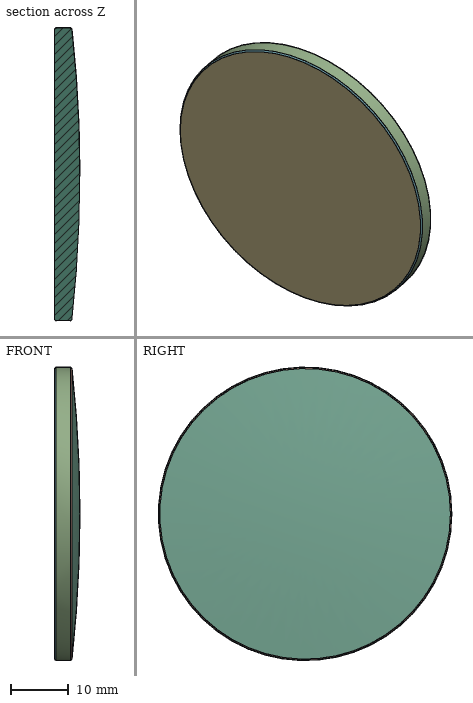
import cadquery as cq

diameter = 50.8
center_thickness = 4.4
bevel = 0.25
dome_edge_x = 3.05

radius = diameter / 2
face_radius = radius - bevel
dome_height = center_thickness - dome_edge_x
sphere_radius = (face_radius**2 + dome_height**2) / (2 * dome_height)

mid_radius = face_radius / 2
mid_x = center_thickness - sphere_radius + (sphere_radius**2 - mid_radius**2) ** 0.5

half_section = (
    cq.Workplane("XY")
    .moveTo(0, 0)
    .lineTo(0, face_radius)
    .lineTo(bevel, radius)
    .lineTo(dome_edge_x - bevel, radius)
    .lineTo(dome_edge_x, face_radius)
    .threePointArc((mid_x, mid_radius), (center_thickness, 0))
    .close()
)

result = half_section.revolve(360, (0, 0, 0), (1, 0, 0))